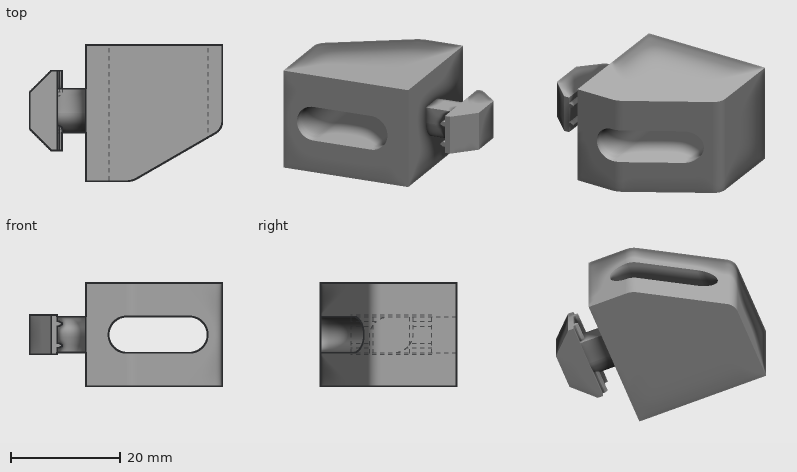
import cadquery as cq
import math

block_side = 25.0
block_height = 19.0
mid_z = block_height / 2
slope_angle = math.radians(30)
slope_start = 8.45
front_corner_radius = 3.9
side_corner_radius = 2.5

slot_left = 4.15
slot_length = 18.1
slot_width = 6.6

overall_length = 35.3
reach = overall_length - block_side
axis_y = 12.95
head_depth = 5.05
head_width = 14.7
head_height = 7.25
head_chamfer = 4.0
shank_width = 8.0
shank_height = 6.6
shank_radius = 3.6
head_back = head_depth - reach

tooth_spacing = 4.0
tooth_thickness = 0.9
tooth_straight = 0.35
tooth_flank_angle = math.radians(30)
tooth_tip_radius = 0.2


def make_block():
    slope_rise = (block_side - slope_start) * math.tan(slope_angle)
    block = (
        cq.Workplane("XY")
        .polyline([
            (0, 0),
            (slope_start, 0),
            (block_side, slope_rise),
            (block_side, block_side),
            (0, block_side),
        ])
        .close()
        .extrude(block_height)
    )
    for x, y, radius in (
        (slope_start, 0, front_corner_radius),
        (block_side, slope_rise, side_corner_radius),
    ):
        corner = cq.selectors.NearestToPointSelector((x, y, mid_z))
        block = block.edges(corner).fillet(radius)
    slot = (
        cq.Workplane("XZ")
        .center(slot_left + slot_length / 2, mid_z)
        .slot2D(slot_length, slot_width)
        .extrude(-block_side)
    )
    return block.cut(slot)


def make_head():
    return (
        cq.Workplane("XY")
        .box(head_depth, head_width, head_height)
        .edges("<X and |Z")
        .chamfer(head_chamfer)
        .translate((head_back - head_depth / 2, axis_y, mid_z))
    )


def make_shank():
    """Two opposite corners are round so the head can turn in its channel."""
    shank_length = -head_back
    shank = cq.Workplane("XY").box(shank_length, shank_width, shank_height)
    half_width = shank_width / 2
    half_height = shank_height / 2
    for side in (-1, 1):
        corner_y = side * half_width
        corner_z = -side * half_height
        center_y = corner_y - side * shank_radius
        center_z = corner_z + side * shank_radius
        diagonal = shank_radius * math.sqrt(0.5)
        waste = (
            cq.Workplane("YZ", origin=(-shank_length / 2, 0, 0))
            .moveTo(corner_y, corner_z)
            .lineTo(corner_y, center_z)
            .threePointArc(
                (center_y + side * diagonal, center_z - side * diagonal),
                (center_y, corner_z),
            )
            .close()
            .extrude(shank_length)
        )
        shank = shank.cut(waste)
    return shank.translate((-shank_length / 2, axis_y, mid_z))


def make_tooth(z):
    """Ridge across the full head width, with sloped flanks and a rounded tip."""
    half = tooth_thickness / 2
    shoulder = head_back + tooth_straight
    tip = shoulder + half / math.tan(tooth_flank_angle)
    return (
        cq.Workplane("XZ", origin=(0, axis_y, z))
        .polyline([
            (head_back, -half),
            (shoulder, -half),
            (tip, 0),
            (shoulder, half),
            (head_back, half),
        ])
        .close()
        .extrude(head_width / 2, both=True)
        .edges(">X")
        .fillet(tooth_tip_radius)
    )


result = make_block().union(make_shank()).union(make_head())
for direction in (-1, 1):
    result = result.union(make_tooth(mid_z + direction * tooth_spacing / 2))